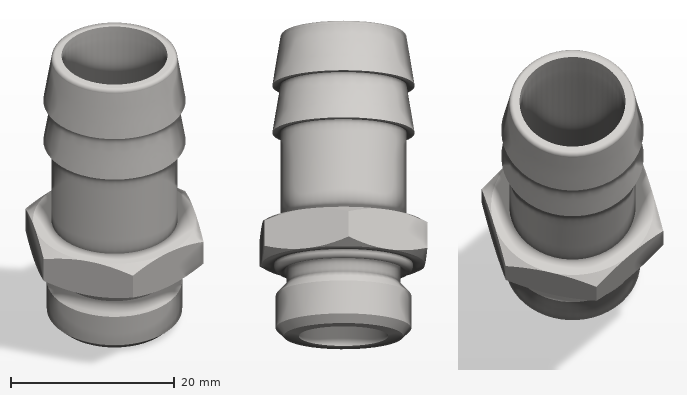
import cadquery as cq
import math

TOTAL_HEIGHT = 38.0
HEX_ACROSS_FLATS = 20.0
HEX_BOTTOM = 9.05
HEX_HEIGHT = 4.98
HEX_TOP = HEX_BOTTOM + HEX_HEIGHT
HEX_CHAMFER_ANGLE = 30.0
HEX_CORNER_RADIUS = HEX_ACROSS_FLATS / math.sqrt(3)

THREAD_RADIUS = 16.65 / 2
THREAD_TOP = 5.13
THREAD_CHAMFER = 1.0
NECK_RADIUS = 14.0 / 2
NECK_BOTTOM = 6.57

STEM_RADIUS = 15.5 / 2
BARB_RADIUS = 17.48 / 2
LOWER_BARB_BOTTOM = 25.55
UPPER_BARB_BOTTOM = 31.45
TOP_ROUND = 0.5

BORE_RADIUS = 11.0 / 2
MOUTH_RADIUS = 13.0 / 2
COUNTERBORE_BOTTOM = HEX_TOP
STEP_ANGLE = 30.0

SEAL_OUTER_RADIUS = 17.1 / 2
SEAL_BOTTOM = 8.1
SEAL_SECTION_RADIUS = (SEAL_OUTER_RADIUS - NECK_RADIUS) / 2
SEAL_CENTER_RADIUS = NECK_RADIUS + SEAL_SECTION_RADIUS
SEAL_CENTER_HEIGHT = SEAL_BOTTOM + SEAL_SECTION_RADIUS
SEAL_TOP = SEAL_BOTTOM + 2 * SEAL_SECTION_RADIUS


def make_turned_blank():
    """Outer profile of the threaded end, stem and barbs, turned about Z."""
    return (
        cq.Workplane("XZ")
        .moveTo(0, 0)
        .lineTo(THREAD_RADIUS - THREAD_CHAMFER, 0)
        .lineTo(THREAD_RADIUS, THREAD_CHAMFER)
        .lineTo(THREAD_RADIUS, THREAD_TOP)
        .lineTo(NECK_RADIUS, NECK_BOTTOM)
        .lineTo(NECK_RADIUS, HEX_TOP)
        .lineTo(STEM_RADIUS, HEX_TOP)
        .lineTo(STEM_RADIUS, LOWER_BARB_BOTTOM)
        .lineTo(BARB_RADIUS, LOWER_BARB_BOTTOM)
        .lineTo(STEM_RADIUS, UPPER_BARB_BOTTOM)
        .lineTo(BARB_RADIUS, UPPER_BARB_BOTTOM)
        .lineTo(STEM_RADIUS, TOTAL_HEIGHT - TOP_ROUND)
        .radiusArc((STEM_RADIUS - TOP_ROUND, TOTAL_HEIGHT), -TOP_ROUND)
        .lineTo(0, TOTAL_HEIGHT)
        .close()
        .revolve(360, (0, 0), (0, 1))
    )


def make_hexagon():
    """Hexagon with its corners turned to a cone at both faces."""
    flat_radius = HEX_ACROSS_FLATS / 2
    corner_drop = (HEX_CORNER_RADIUS - flat_radius) * math.tan(math.radians(HEX_CHAMFER_ANGLE))
    prism = (
        cq.Workplane("XY")
        .workplane(offset=HEX_BOTTOM)
        .polygon(6, 2 * HEX_CORNER_RADIUS)
        .extrude(HEX_HEIGHT)
    )
    envelope = (
        cq.Workplane("XZ")
        .moveTo(0, HEX_BOTTOM)
        .lineTo(flat_radius, HEX_BOTTOM)
        .lineTo(HEX_CORNER_RADIUS, HEX_BOTTOM + corner_drop)
        .lineTo(HEX_CORNER_RADIUS, HEX_TOP - corner_drop)
        .lineTo(flat_radius, HEX_TOP)
        .lineTo(0, HEX_TOP)
        .close()
        .revolve(360, (0, 0), (0, 1))
    )
    return prism.intersect(envelope)


def make_bore():
    """Straight bore opening through a cone into the counterbore."""
    step_height = (MOUTH_RADIUS - BORE_RADIUS) * math.tan(math.radians(STEP_ANGLE))
    return (
        cq.Workplane("XZ")
        .moveTo(0, 0)
        .lineTo(BORE_RADIUS, 0)
        .lineTo(BORE_RADIUS, COUNTERBORE_BOTTOM - step_height)
        .lineTo(MOUTH_RADIUS, COUNTERBORE_BOTTOM)
        .lineTo(MOUTH_RADIUS, TOTAL_HEIGHT)
        .lineTo(0, TOTAL_HEIGHT)
        .close()
        .revolve(360, (0, 0), (0, 1))
    )


def make_seal_groove():
    """Ring-shaped groove between the neck and the hexagon that holds the upper part of the seal."""
    return (
        cq.Workplane("XY")
        .workplane(offset=HEX_BOTTOM)
        .circle(SEAL_OUTER_RADIUS)
        .circle(NECK_RADIUS)
        .extrude(SEAL_TOP - HEX_BOTTOM)
    )


def make_fitting():
    """Hose fitting: turned ends and hexagon in one piece, bored through."""
    return make_turned_blank().union(make_hexagon()).cut(make_bore()).cut(make_seal_groove())


def make_seal():
    """Torus with a round section, touching the neck and the groove."""
    return (
        cq.Workplane("XZ")
        .center(SEAL_CENTER_RADIUS, SEAL_CENTER_HEIGHT)
        .circle(SEAL_SECTION_RADIUS)
        .revolve(360, (-SEAL_CENTER_RADIUS, 0), (-SEAL_CENTER_RADIUS, 1))
    )


fitting = make_fitting()
seal = make_seal()

result = cq.Compound.makeCompound([fitting.val(), seal.val()])